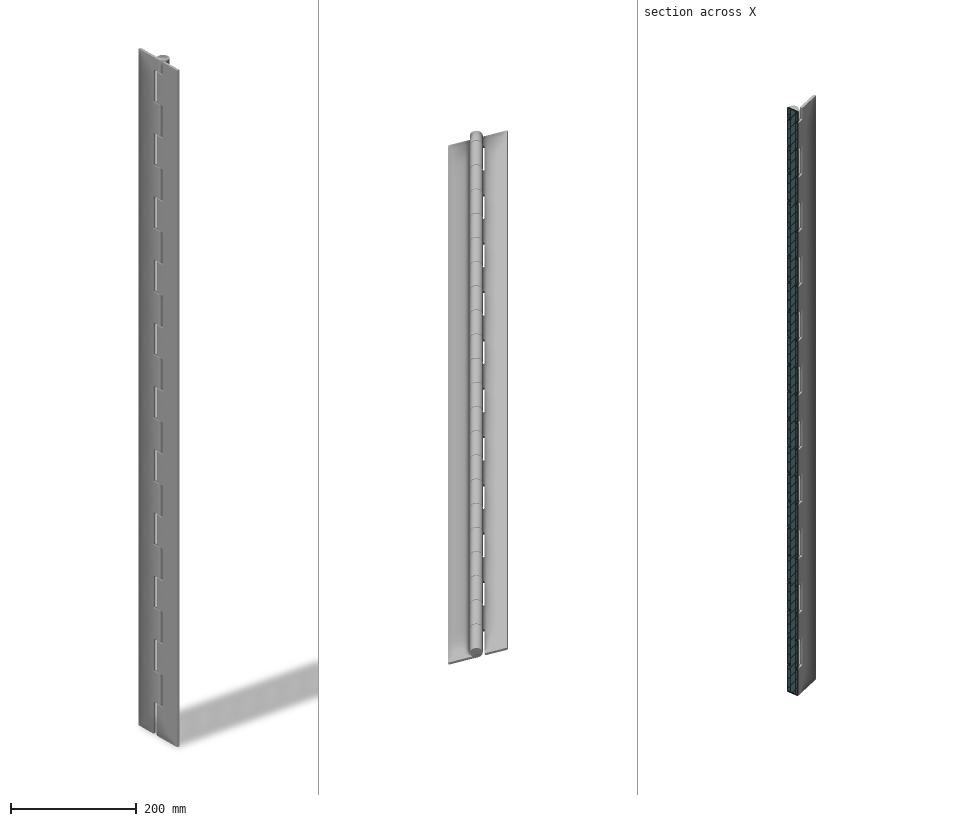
import cadquery as cq

LENGTH = 1200.0
WIDTH = 100.0
THICKNESS = 4.5

BARREL_DIAMETER = 20.0
PIN_DIAMETER = 10.0
AXIS = (0, BARREL_DIAMETER / 2)

FULL_KNUCKLES = 21
TOP_KNUCKLE = 23.0
PITCH = (LENGTH - TOP_KNUCKLE) / FULL_KNUCKLES
END_GAP = 1.0
NOTCH_DEPTH = 11.6


def knuckle_span(index):
    """Lower and upper z of a knuckle, with half the play taken off each inner end."""
    bottom = 0 if index == 0 else index * PITCH + END_GAP / 2
    top = LENGTH if index == FULL_KNUCKLES else (index + 1) * PITCH - END_GAP / 2
    return bottom, top


def sheet(side, inner, outer, height):
    """Flat piece of leaf between two distances from the barrel axis, on the given x side."""
    return (
        cq.Workplane("XY")
        .center(side * (inner + outer) / 2, THICKNESS / 2)
        .rect(outer - inner, THICKNESS)
        .extrude(height)
    )


def rod(diameter, height):
    """Cylinder around the barrel axis."""
    return cq.Workplane("XY").center(*AXIS).circle(diameter / 2).extrude(height)


def knuckle(side, index):
    """Closed eye around the pin and the strip of sheet that joins it to its leaf."""
    bottom, top = knuckle_span(index)
    height = top - bottom
    strip = sheet(side, 0, NOTCH_DEPTH, height)
    eye = rod(BARREL_DIAMETER, height).union(strip).cut(rod(PIN_DIAMETER, height))
    return eye.translate((0, 0, bottom))


def leaf(side, first_knuckle):
    """Leaf on the given x side (-1 or 1) carrying every second knuckle."""
    body = sheet(side, NOTCH_DEPTH, WIDTH / 2, LENGTH)
    for index in range(first_knuckle, FULL_KNUCKLES + 1, 2):
        body = body.union(knuckle(side, index))
    return body


right_leaf = leaf(1, 0)
left_leaf = leaf(-1, 1)
pin = rod(PIN_DIAMETER, LENGTH)

result = cq.Compound.makeCompound([right_leaf.val(), left_leaf.val(), pin.val()])